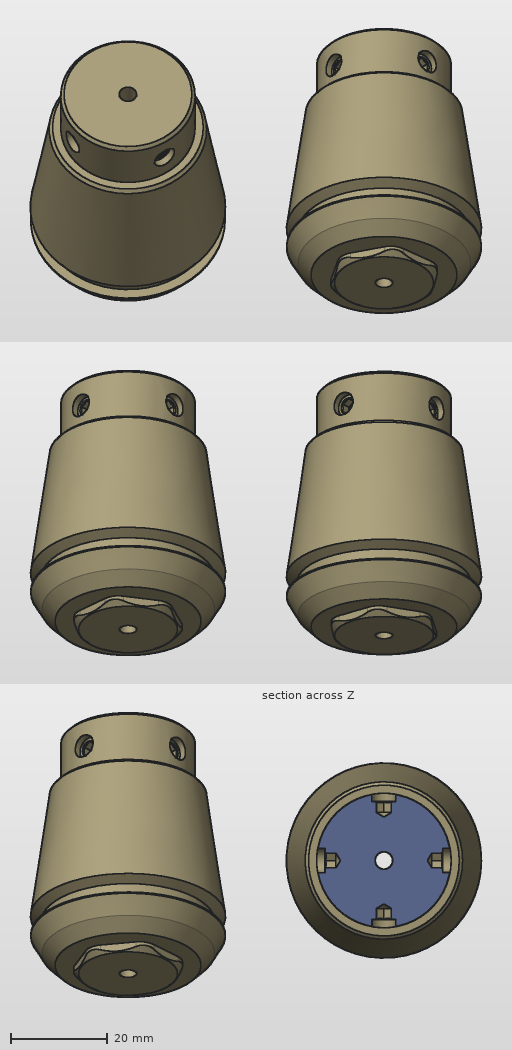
import cadquery as cq
import math

total_height = 54.0
hex_height = 1.95
rim_edge_height = 0.3
groove_floor_height = 9.0
groove_width = 3.0
boss_height = 12.0

body_diameter = 40.64
rim_diameter = 40.55
groove_diameter = 36.2
nose_diameter = 36.0
nose_end_diameter = 30.4
boss_diameter = 28.0
bore_diameter = 3.58

body_taper = 8.0
rim_taper = 30.0
groove_wall_slope = 30.0

edge_chamfer = 0.7

hex_across_flats = 21.0
hex_corner_radius = 4.0
hex_chamfer_end_diameter = 20.6
hex_chamfer_slope = 45.0

radial_socket_count = 4
radial_socket_height = 47.65
counterbore_diameter = 4.92
counterbore_depth = 1.7
mouth_diameter = 3.58
socket_depth = 4.0
socket_across_flats = 3.0
socket_mouth_slope = 45.0
drill_point_angle = 118.0


def run(height, angle):
    """Radial distance gained over a height by a wall inclined to the axis."""
    return height * math.tan(math.radians(angle))


def corners_from_flats(across_flats):
    """Width of a regular hexagon across its corners."""
    return across_flats / math.cos(math.pi / 6)


def make_body():
    """Revolved body: nose cone, rim, groove, tapered body and boss."""
    body_radius = body_diameter / 2
    rim_radius = rim_diameter / 2
    groove_radius = groove_diameter / 2
    boss_radius = boss_diameter / 2

    rim_bottom = groove_floor_height - rim_edge_height
    nose_top = rim_bottom - (rim_radius - nose_diameter / 2) / run(1, rim_taper)
    groove_top = groove_floor_height + groove_width
    body_bottom = groove_top + run(body_radius - groove_radius, groove_wall_slope)
    shoulder = total_height - boss_height
    taper_top = shoulder - edge_chamfer
    taper_top_radius = body_radius - run(taper_top - body_bottom, body_taper)

    outline = [
        (0, hex_height),
        (nose_end_diameter / 2, hex_height),
        (nose_diameter / 2, nose_top),
        (rim_radius, rim_bottom),
        (rim_radius, groove_floor_height),
        (groove_radius, groove_floor_height),
        (groove_radius, groove_top),
        (body_radius, body_bottom),
        (taper_top_radius, taper_top),
        (taper_top_radius - edge_chamfer, shoulder),
        (boss_radius, shoulder),
        (boss_radius, total_height - edge_chamfer),
        (boss_radius - edge_chamfer, total_height),
        (0, total_height),
    ]
    return cq.Workplane("XZ").polyline(outline).close().revolve(360, (0, 0), (0, 1))


def make_hexagon():
    """Hexagon with rounded corners and a conical chamfer on its lower end."""
    across_corners = corners_from_flats(hex_across_flats)
    hexagon = (
        cq.Workplane("XY")
        .polygon(6, across_corners)
        .extrude(hex_height)
        .edges("|Z")
        .fillet(hex_corner_radius)
    )
    end_radius = hex_chamfer_end_diameter / 2
    full_radius = end_radius + run(hex_height, hex_chamfer_slope)
    envelope = (
        cq.Workplane("XZ")
        .polyline([(0, 0), (end_radius, 0), (full_radius, hex_height), (0, hex_height)])
        .close()
        .revolve(360, (0, 0), (0, 1))
    )
    return hexagon.intersect(envelope)


def cone_along_x(base, length, radius):
    """Cone about the X axis with its base circle at x = base and its tip at base + length."""
    outline = [(base, 0), (base, radius), (base + length, 0)]
    return cq.Workplane("XY").polyline(outline).close().revolve(360, (0, 0), (1, 0))


def make_radial_socket():
    """Cutter for one recessed hexagon socket entering the boss from the +X side."""
    boss_radius = boss_diameter / 2
    mouth_radius = mouth_diameter / 2
    counterbore_floor = boss_radius - counterbore_depth
    socket_end = boss_radius - socket_depth

    counterbore = (
        cq.Workplane("YZ", origin=(counterbore_floor, 0, 0))
        .circle(counterbore_diameter / 2)
        .extrude(counterbore_depth)
    )

    socket_across_corners = corners_from_flats(socket_across_flats)
    socket_plane = cq.Plane(origin=(socket_end, 0, 0), xDir=(0, 0, 1), normal=(1, 0, 0))
    socket = (
        cq.Workplane(socket_plane)
        .polygon(6, socket_across_corners)
        .extrude(counterbore_floor - socket_end)
    )
    drill_point_depth = (socket_across_flats / 2) / run(1, drill_point_angle / 2)
    drill_point = cone_along_x(socket_end, -drill_point_depth, socket_across_flats / 2)
    mouth_depth = mouth_radius / run(1, socket_mouth_slope)
    mouth = cone_along_x(counterbore_floor, -mouth_depth, mouth_radius)

    cutter = counterbore.union(socket).union(drill_point).union(mouth)
    return cutter.translate((0, 0, radial_socket_height))


def make_bore():
    """Cutter for the central hole through the whole part."""
    return cq.Workplane("XY").circle(bore_diameter / 2).extrude(total_height)


result = make_body().union(make_hexagon())

for index in range(radial_socket_count):
    angle = index * 360 / radial_socket_count
    result = result.cut(make_radial_socket().rotate((0, 0, 0), (0, 0, 1), angle))

result = result.cut(make_bore())